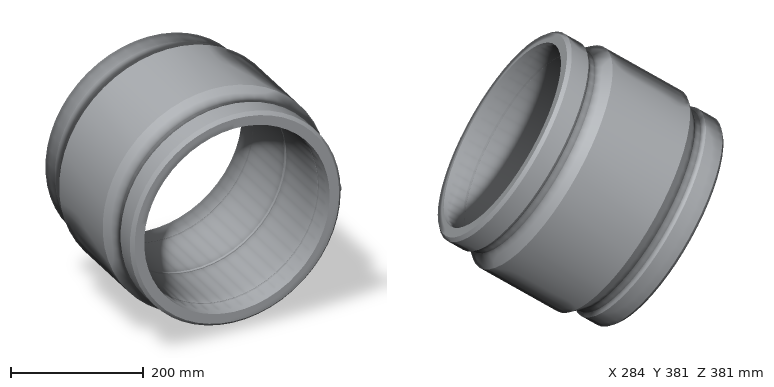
import cadquery as cq

length = 284.0
body_diameter = 381.0

collar_diameter = 358.0
neck_diameter = 347.5
collar_chamfer = (collar_diameter - neck_diameter) / 2
collar_inner_edge = 35.5
neck_start = collar_inner_edge + collar_chamfer
neck_end = 51.5
body_start = 71.5

bore_diameter = 315.0
rib_diameter = 312.0
rib_width = 4.2
groove_diameter = 316.0
groove_width = 3.5
groove_offset = 36.5

pin_diameter = 16.0
pin_top = 184.0
pin_offset = (collar_chamfer + collar_inner_edge) / 2


def turned_body():
    """Outer solid, revolved about X and symmetric about its middle."""
    left_half = [
        (0, neck_diameter / 2),
        (collar_chamfer, collar_diameter / 2),
        (collar_inner_edge, collar_diameter / 2),
        (neck_start, neck_diameter / 2),
        (neck_end, neck_diameter / 2),
        (body_start, body_diameter / 2),
    ]
    right_half = [(length - x, radius) for x, radius in reversed(left_half)]
    outline = [(0, 0)] + left_half + right_half + [(length, 0)]
    return cq.Workplane("XY").polyline(outline).close().revolve(360, (0, 0, 0), (1, 0, 0))


def cylinder_along_x(middle, width, diameter):
    """Cylinder about X, centred at x = middle."""
    start = middle - width / 2
    return cq.Workplane("YZ", origin=(start, 0, 0)).circle(diameter / 2).extrude(width)


def bore():
    """Bore volume, pinched at the rib and widened at the grooves."""
    middle = length / 2
    volume = cylinder_along_x(middle, length, bore_diameter)
    rib = cylinder_along_x(middle, rib_width, bore_diameter)
    volume = volume.cut(rib.cut(cylinder_along_x(middle, rib_width, rib_diameter)))
    for groove_middle in (groove_offset, length - groove_offset):
        volume = volume.union(cylinder_along_x(groove_middle, groove_width, groove_diameter))
    return volume


def pin(x):
    """Radial pin pointing to +Y, rooted inside the wall."""
    root = neck_diameter / 2 - collar_chamfer
    plane = cq.Plane(origin=(x, root, 0), xDir=(1, 0, 0), normal=(0, 1, 0))
    return cq.Workplane(plane).circle(pin_diameter / 2).extrude(pin_top - root)


result = turned_body().cut(bore())
for pin_x in (pin_offset, length - pin_offset):
    result = result.union(pin(pin_x))